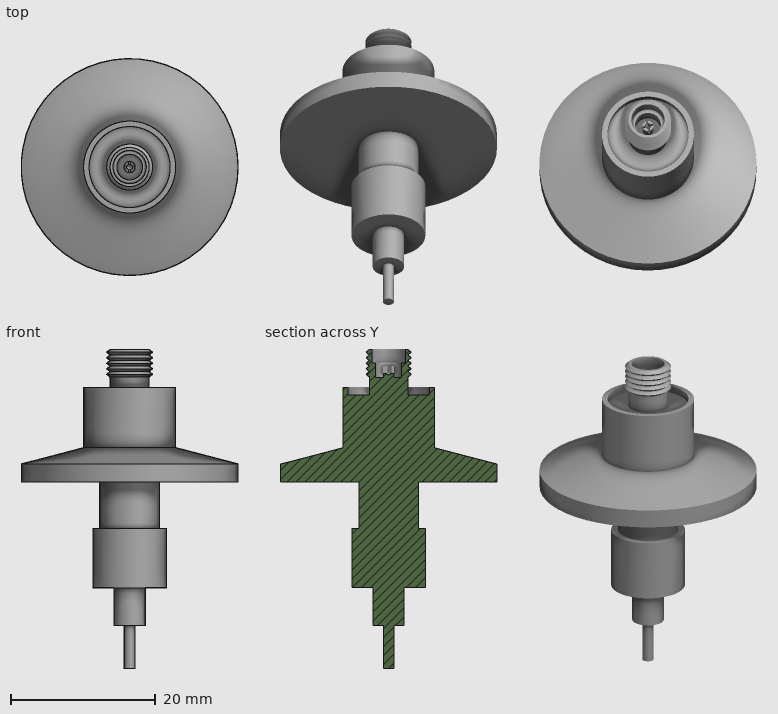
import cadquery as cq
import math

overall_height = 44.07

lead_diameter, lead_length = 1.52, 5.93
insulator_diameter, insulator_length = 4.37, 5.22
body_diameter, body_length = 10.2, 8.23
stem_diameter, stem_length = 8.3, 6.37

flange_diameter, flange_rim_thickness = 29.97, 2.52
cone_height = 2.25
collar_diameter = 12.7
recess_diameter, recess_depth = 11.2, 1.0

crest_diameter = 6.35
root_diameter = 5.4
ridge_count = 5
thread_length = 3.81
ridge_pitch = thread_length / ridge_count
connector_rise = 5.24

socket_diameter, socket_depth = 4.6, 1.85
inner_bore_diameter, inner_bore_depth = 3.55, 1.96

contact_diameter, contact_height = 1.52, 1.5
contact_hole_diameter, contact_hole_depth = 0.85, 1.2
drill_point_angle = 118
slot_width = 0.25

insulator_z = lead_length
body_z = insulator_z + insulator_length
stem_z = body_z + body_length
flange_z = stem_z + stem_length
cone_z = flange_z + flange_rim_thickness
cone_top_z = cone_z + cone_height
collar_top_z = overall_height - connector_rise
recess_z = collar_top_z - recess_depth
thread_z = overall_height - thread_length
socket_floor_z = overall_height - socket_depth
inner_floor_z = socket_floor_z - inner_bore_depth
contact_top_z = inner_floor_z + contact_height


def cylinder(diameter, bottom_z, top_z):
    """Solid cylinder on the Z axis between two heights."""
    return cq.Workplane("XY").workplane(offset=bottom_z).circle(diameter / 2).extrude(top_z - bottom_z)


def revolve_profile(points):
    """Solid of revolution about Z from a closed (radius, height) outline."""
    axis_start, axis_end = (0, 0), (0, 1)
    return cq.Workplane("XZ").polyline(points).close().revolve(360, axis_start, axis_end)


def make_lower_stack():
    """Lead pin, insulator, body and stem below the flange."""
    lead = cylinder(lead_diameter, 0, insulator_z)
    insulator = cylinder(insulator_diameter, insulator_z, body_z)
    body = cylinder(body_diameter, body_z, stem_z)
    stem = cylinder(stem_diameter, stem_z, flange_z)
    return lead.union(insulator).union(body).union(stem)


def make_flange():
    """Flange disc, conical face and the recessed collar above it."""
    flange = revolve_profile([
        (0, flange_z),
        (flange_diameter / 2, flange_z),
        (flange_diameter / 2, cone_z),
        (collar_diameter / 2, cone_top_z),
        (collar_diameter / 2, collar_top_z),
        (0, collar_top_z),
    ])
    return flange.cut(cylinder(recess_diameter, recess_z, collar_top_z))


def make_connector():
    """Neck and thread ridges with the stepped socket cut into the mouth."""
    outline = [(0, recess_z), (root_diameter / 2, recess_z), (root_diameter / 2, thread_z)]
    for ridge in range(ridge_count):
        ridge_z = thread_z + ridge * ridge_pitch
        outline.append((crest_diameter / 2, ridge_z + ridge_pitch / 2))
        outline.append((root_diameter / 2, ridge_z + ridge_pitch))
    outline.append((0, overall_height))
    connector = revolve_profile(outline)
    connector = connector.cut(cylinder(socket_diameter, socket_floor_z, overall_height))
    return connector.cut(cylinder(inner_bore_diameter, inner_floor_z, socket_floor_z))


def make_contact():
    """Contact pin with a drilled hole and two crossing slots in its tip."""
    contact = cylinder(contact_diameter, inner_floor_z, contact_top_z)
    hole_radius = contact_hole_diameter / 2
    hole_end_z = contact_top_z - contact_hole_depth
    drill_tip_length = hole_radius / math.tan(math.radians(drill_point_angle / 2))
    hole = revolve_profile([
        (0, hole_end_z),
        (hole_radius, hole_end_z + drill_tip_length),
        (hole_radius, contact_top_z),
        (0, contact_top_z),
    ])
    slot_z = hole_end_z + drill_tip_length
    slot_depth = contact_top_z - slot_z
    slot = (
        cq.Workplane("XY")
        .workplane(offset=slot_z)
        .rect(contact_diameter, slot_width)
        .extrude(slot_depth)
    )
    cross_slot = slot.rotate((0, 0, 0), (0, 0, 1), 90)
    return contact.cut(hole).cut(slot).cut(cross_slot)


result = make_lower_stack().union(make_flange()).union(make_connector()).union(make_contact())